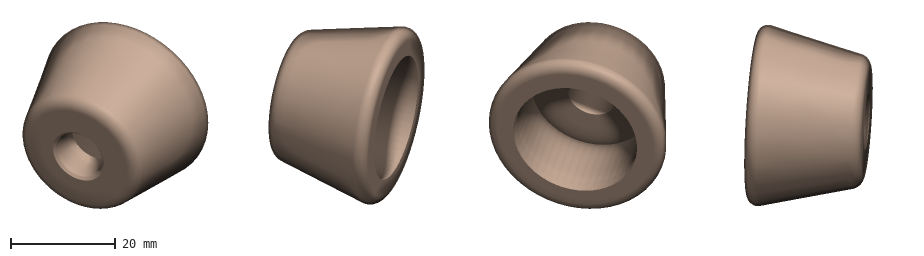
import cadquery as cq
import math

length = 22.0
outer_radius = 17.43
large_rounding = 2.0
small_rounding = 2.5
small_face_radius = 10.53
bore_radius = 10.0 / 2
bore_chamfer = 0.5

recess_radius = 24.33 / 2
recess_depth = 15.0
recess_floor = length - recess_depth

large_centre = (outer_radius - large_rounding, length - large_rounding)
small_centre = (small_face_radius, small_rounding)

centre_run = large_centre[0] - small_centre[0]
centre_rise = large_centre[1] - small_centre[1]
centre_distance = math.hypot(centre_run, centre_rise)
flank_angle = math.atan2(centre_run, centre_rise) + math.asin(
    (large_rounding - small_rounding) / centre_distance
)


def arc_point(centre, radius, angle):
    """Point on a rim arc, with the angle measured from the radial direction."""
    return (
        centre[0] + radius * math.cos(angle),
        centre[1] + radius * math.sin(angle),
    )


def make_body():
    """Solid cone with both rims rounded tangentially into the flank."""
    flank_normal = -flank_angle
    small_middle = (flank_normal - math.pi / 2) / 2
    large_middle = (flank_normal + math.pi / 2) / 2
    profile = (
        cq.Workplane("XY")
        .lineTo(small_face_radius, 0)
        .threePointArc(
            arc_point(small_centre, small_rounding, small_middle),
            arc_point(small_centre, small_rounding, flank_normal),
        )
        .lineTo(*arc_point(large_centre, large_rounding, flank_normal))
        .threePointArc(
            arc_point(large_centre, large_rounding, large_middle),
            (large_centre[0], length),
        )
        .lineTo(0, length)
        .close()
    )
    return profile.revolve(360, (0, 0, 0), (0, 1, 0))


def make_stepped_bore():
    """Bore chamfered at the small face, opening into the wide recess at the large face."""
    profile = cq.Workplane("XY").polyline([
        (0, 0),
        (bore_radius + bore_chamfer, 0),
        (bore_radius, bore_chamfer),
        (bore_radius, recess_floor),
        (recess_radius, recess_floor),
        (recess_radius, length),
        (0, length),
    ]).close()
    return profile.revolve(360, (0, 0, 0), (0, 1, 0))


result = make_body().cut(make_stepped_bore())